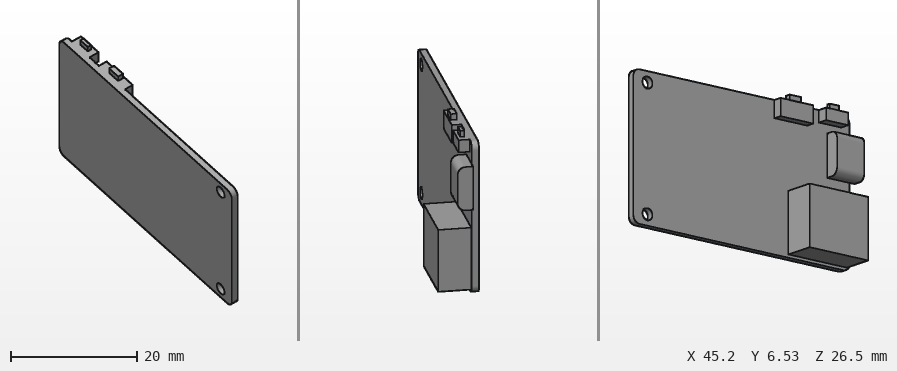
import cadquery as cq

overall_length = 45.25
connector_overhang = 1.0
board_thickness = 1.18
board_height = 25.5
board_corner_radius = 1.25

hole_diameter = 2.0
hole_edge_distance = 2.9
hole_spacing = 21.7

connector_length = 5.6
connector_depth = 2.5
connector_bottom = 14.6
connector_height = 7.35
connector_radius = 1.2

block_left = 1.55
block_length = 12.0
block_depth = 5.35
block_bottom = 0.55
block_height = 10.5

actuator_rise = 1.0
actuator_back = 2.45

small_switch_left = 2.75
small_switch_length = 4.52
small_switch_depth = 1.8
small_switch_height = 2.1
small_actuator_left = 4.15
small_actuator_length = 1.9
small_actuator_depth = 0.7
small_actuator_embed = small_switch_height / 2

large_switch_left = 9.7
large_switch_length = 6.7
large_switch_depth = 1.55
large_switch_height = 3.05
large_actuator_left = 11.95
large_actuator_length = 2.3
large_actuator_depth = 1.0
large_actuator_embed = large_switch_height / 2


def box_at(left, front, bottom, length, depth, height):
    """Box placed by its left, front, bottom corner."""
    return cq.Workplane("XY").box(length, depth, height, centered=False).translate((left, front, bottom))


def make_board():
    board_length = overall_length - connector_overhang
    board = box_at(connector_overhang, 0, 0, board_length, board_thickness, board_height)
    board = board.edges("|Y").fillet(board_corner_radius)
    hole_x = overall_length - hole_edge_distance
    for side in (-1, 1):
        hole_z = board_height / 2 + side * hole_spacing / 2
        hole = (
            cq.Workplane("XZ", origin=(hole_x, 0, hole_z))
            .circle(hole_diameter / 2)
            .extrude(-board_thickness)
        )
        board = board.cut(hole)
    return board


def make_connector():
    body = box_at(0, board_thickness, connector_bottom, connector_length, connector_depth, connector_height)
    return body.faces(">Y").edges("|X").fillet(connector_radius)


def make_block():
    return box_at(block_left, board_thickness, block_bottom, block_length, block_depth, block_height)


def make_switch(left, length, depth, height):
    return box_at(left, board_thickness, board_height - height, length, depth, height)


def make_actuator(left, length, depth, embed):
    """Actuator rooted inside its switch and standing above the board's top edge."""
    return box_at(left, actuator_back - depth, board_height - embed, length, depth, embed + actuator_rise)


parts = [
    make_connector(),
    make_block(),
    make_switch(small_switch_left, small_switch_length, small_switch_depth, small_switch_height),
    make_actuator(small_actuator_left, small_actuator_length, small_actuator_depth, small_actuator_embed),
    make_switch(large_switch_left, large_switch_length, large_switch_depth, large_switch_height),
    make_actuator(large_actuator_left, large_actuator_length, large_actuator_depth, large_actuator_embed),
]

result = make_board()
for part in parts:
    result = result.union(part)
result = result.clean()